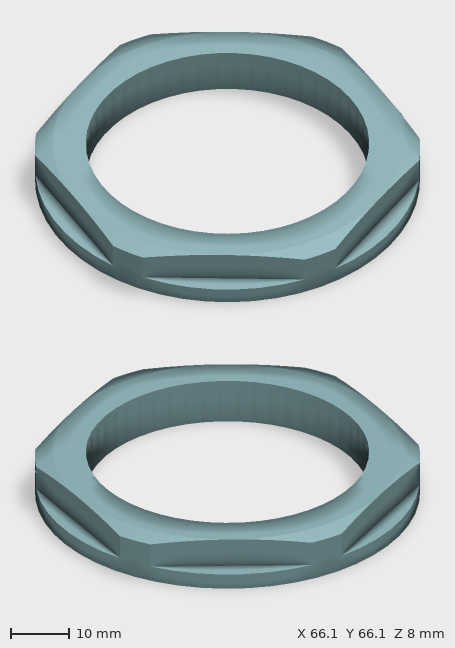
import cadquery as cq
import math

flange_diameter = 66.1
flange_height = 2.8
total_height = 8.0
across_flats = 60.0
bore_diameter = 48.6
chamfer_angle = 15.0

across_corners = across_flats / math.cos(math.pi / 6)
flange_radius = flange_diameter / 2
chamfer_inner_radius = across_flats / 2
chamfer_drop = (flange_radius - chamfer_inner_radius) * math.tan(math.radians(chamfer_angle))


def turned_blank():
    """Round blank with a shallow conical chamfer around its top face."""
    profile = [
        (0, 0),
        (flange_radius, 0),
        (flange_radius, total_height - chamfer_drop),
        (chamfer_inner_radius, total_height),
        (0, total_height),
    ]
    return cq.Workplane("XZ").polyline(profile).close().revolve(360, (0, 0, 0), (0, 1, 0))


def nut_envelope():
    """Full round flange with a hexagonal prism above it, corners along X."""
    flange = cq.Workplane("XY").circle(flange_radius).extrude(flange_height)
    hexagon = cq.Workplane("XY").polygon(6, across_corners).extrude(total_height)
    return flange.union(hexagon)


def bore():
    """Plain through hole on the part axis."""
    return cq.Workplane("XY").circle(bore_diameter / 2).extrude(total_height)


result = turned_blank().intersect(nut_envelope()).cut(bore())